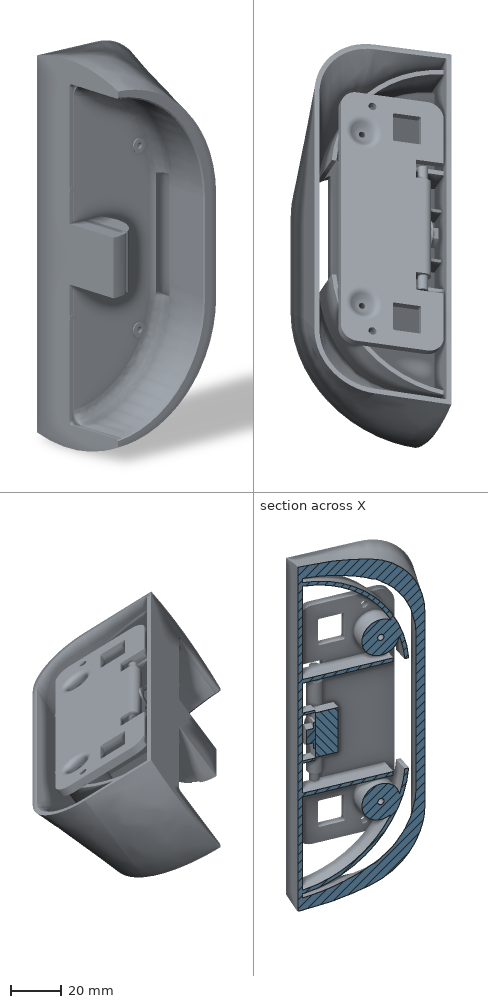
import cadquery as cq
import math

LENGTH = 161.0
DEPTH = 49.0
BACK_HEIGHT = 57.0
RIM_HEIGHT = 52.0
BACK_HALF = 78.1
RIM_HALF = 73.8
CREST_X = 17.7
BACK_TOP_HALF = 52.8
BACK_SHOULDER = (31.9, 77.8)
CREST_TOP_HALF = 40.3
CREST_SHOULDER = (33.0, 73.8)
RIM_SHOULDER = (36.5, 58.3)
WALL = 2.1

BOWL_CENTER_Y = -2.5
BOWL_CENTER_Z = 21.1
BOWL_RADIUS = 49.6
BOWL_FLOOR_CENTER_Y = BOWL_CENTER_Y + 1.6
BOWL_RIM_CENTER_Y = BOWL_CENTER_Y - 1.6
BOWL_FLOOR_X = 20.0
BOWL_FILLET = 5.5
RIM_CHAMFER = 0.6
MOUTH_X = 19.6
MOUTH_CORNER = 1.6

FLOOR_THICKNESS = 3.9
PAN_FILLET = 4.7
PAN_BACK_X = BOWL_FLOOR_X - FLOOR_THICKNESS
LEDGE_X = PAN_BACK_X + 4.8
RING_RADIUS = BOWL_RADIUS + 2.0
RING_BACK_X = 3.4

NOTCH_HALF = 25.5
NOTCH_Y = 45.1
NOTCH_FRONT_Y = 48.2

EDGE_MARGIN = 0.2

OUTER_RIB_Z = 25.5
OUTER_RIB_THICKNESS = 2.0
OUTER_RIB_TOP = 41.9
INNER_RIB_Z = 10.5
INNER_RIB_THICKNESS = 1.3

PLATE_THICKNESS = 3.4
PLATE_HALF = 55.4
PLATE_LOW_Y = 3.2
PLATE_HIGH_Y = 46.0
PLATE_CORNER = 6.8
RECESS_HALF = 29.0
RECESS_Y = 14.8
KNUCKLE_HALF = 21.1
WINDOW_Y = (12.5, 24.3)
WINDOW_Z = (36.0, 48.3)
WINDOW_CORNER = 0.6
PEG_HOLE_Y = 32.9
PEG_HOLE_Z = 50.1
PEG_HOLE_RADIUS = 1.6
SCREW_Y = 36.4
SCREW_Z = 38.2
SCREW_RADIUS = 1.3
DISH_RADIUS = 7.4
DISH_MIDDLE_RADIUS = 5.0
DISH_DEPTH = 2.5
BOSS_RADIUS = 8.4
NUB_RADIUS = 3.0
NUB_HEIGHT = 0.5

HINGE_Y = 11.0
KNUCKLE_RADIUS = 3.3
PIN_RADIUS = 2.1
KNOB_HALF = 12.5
KNOB_RADIUS = 18.2
KNOB_FRONT_X = 46.2
KNOB_CENTER_X = KNOB_FRONT_X - KNOB_RADIUS
GROOVE_Y = (7.0, 9.8)
GROOVE_DEPTH = 0.3
KNOB_EDGE = 0.5
HUB_BACK_X = 7.0
HUB_LOW_Y = HINGE_Y - KNUCKLE_RADIUS
HUB_HIGH_Y = 17.7
BOLT_X = 9.0
FLANGE_RADIUS = 6.6
FLANGE_THICKNESS = 0.8
HEX_CORNERS = 9.3
HEX_LENGTH = 3.0


def box(x, y, z):
    """Box between pairs of limits."""
    size = [high - low for low, high in (x, y, z)]
    return cq.Workplane("XY").box(*size, centered=False).translate((x[0], y[0], z[0]))


def yz_plane(x):
    """Sketch plane whose local axes are world Y and Z."""
    return cq.Workplane("YZ", origin=(x, 0, 0))


def bar(axis_y, radius, z_half, axis_x):
    """Round bar along Z, centred on z = 0."""
    return cq.Workplane("XY", origin=(axis_x, axis_y, -z_half)).circle(radius).extrude(2 * z_half)


def mirrored(half_body):
    """Join the upper half of a body with its mirror image below z = 0."""
    return half_body.union(half_body.mirror("XY"))


def half_section(x, base_y, height, top_half, shoulder, base_half):
    """Upper half of a section across X: flat top, round corner to the shoulder, bulging end."""
    return (
        yz_plane(x)
        .moveTo(base_y, 0)
        .lineTo(height, 0)
        .lineTo(height, top_half)
        .tangentArcPoint(shoulder, relative=False)
        .tangentArcPoint((base_y, base_half), relative=False)
        .close()
        .val()
    )


def half_loft(sections):
    return cq.Workplane(cq.Solid.makeLoft(sections))


def bowl_half(radius, y, center_y=BOWL_CENTER_Y):
    """Half height of the bowl outline at a given Y."""
    return BOWL_CENTER_Z + math.sqrt(radius**2 - (y - center_y) ** 2)


def bowl_section(x, radius, base_y, center_y=BOWL_CENTER_Y):
    """Upper half of the bowl outline, its shoulder at the middle of a 90 degree arc."""
    step = radius * math.sqrt(0.5)
    shoulder = (center_y + step, BOWL_CENTER_Z + step)
    base_half = bowl_half(radius, base_y, center_y)
    return half_section(x, base_y, center_y + radius, BOWL_CENTER_Z, shoulder, base_half)


def bowl_prism(radius, base_y, start_x, end_x):
    """Straight body with the bowl outline."""
    return mirrored(half_loft([bowl_section(start_x, radius, base_y), bowl_section(end_x, radius, base_y)]))


def make_outer():
    """Outer shape: rounded back opening, bulging crest, half-round front rim."""
    crest_height = BACK_HEIGHT - (BACK_HEIGHT - RIM_HEIGHT) * CREST_X / DEPTH
    back = half_section(0, 0, BACK_HEIGHT, BACK_TOP_HALF, BACK_SHOULDER, BACK_HALF)
    crest = half_section(CREST_X, 0, crest_height, CREST_TOP_HALF, CREST_SHOULDER, LENGTH / 2)
    rim = half_section(DEPTH, 0, RIM_HEIGHT, BOWL_CENTER_Z, RIM_SHOULDER, RIM_HALF)
    return mirrored(half_loft([back, crest, rim]))


def make_hollow():
    """Space inside the shell, narrowing from the back opening to the outline of the ring wall."""
    shoulder_y, shoulder_z = BACK_SHOULDER
    shoulder = (shoulder_y, shoulder_z - WALL)
    back = half_section(0, WALL, BACK_HEIGHT - WALL, BACK_TOP_HALF, shoulder, BACK_HALF - WALL)
    ledge = bowl_section(LEDGE_X, RING_RADIUS, WALL)
    return mirrored(half_loft([back, ledge]))


def make_ring():
    """Wall around the back of the bowl, standing up inside the hollow."""
    outside = bowl_prism(RING_RADIUS, 0, RING_BACK_X, LEDGE_X)
    inside = bowl_prism(BOWL_RADIUS, WALL, RING_BACK_X, LEDGE_X)
    return outside.cut(inside)


def edges_above(body, y):
    """Edges of the back face of a body, without those at or below y."""
    return body.faces("<X").edges(cq.selectors.BoxSelector((0, y, -LENGTH), (DEPTH, LENGTH, LENGTH)))


def make_pan():
    """Back of the bowl inside the ring wall, with a rounded edge."""
    pan = bowl_prism(BOWL_RADIUS, 0, PAN_BACK_X, LEDGE_X)
    return edges_above(pan, EDGE_MARGIN).fillet(PAN_FILLET)


def make_bowl():
    """Cavity narrowing slightly to a chamfered rim, with a rounded floor edge, open through y = 0."""
    base_y = -1.6
    bowl = mirrored(half_loft([
        bowl_section(BOWL_FLOOR_X, BOWL_RADIUS, base_y, BOWL_FLOOR_CENTER_Y),
        bowl_section(DEPTH, BOWL_RADIUS, base_y, BOWL_RIM_CENTER_Y),
    ]))
    bowl = edges_above(bowl, base_y + EDGE_MARGIN).fillet(BOWL_FILLET)
    chamfer = mirrored(half_loft([
        bowl_section(DEPTH - RIM_CHAMFER, BOWL_RADIUS, base_y, BOWL_RIM_CENTER_Y),
        bowl_section(DEPTH, BOWL_RADIUS + RIM_CHAMFER, base_y, BOWL_RIM_CENTER_Y),
    ]))
    return bowl.union(chamfer)


def make_mouth():
    """Opening of the bowl through the flat side wall."""
    half = bowl_half(BOWL_RADIUS, 0)
    mouth = box((MOUTH_X, DEPTH + 1.6), (-1.6, WALL), (-half, half))
    return mouth.edges("|Y and <X").fillet(MOUTH_CORNER)


def make_ribs():
    """Two tall ribs beside the hinge and two low ribs beside the bolt."""
    ribs = cq.Workplane()
    for start, thickness, back_x, top_y in (
        (OUTER_RIB_Z, OUTER_RIB_THICKNESS, PLATE_THICKNESS, OUTER_RIB_TOP),
        (INNER_RIB_Z, INNER_RIB_THICKNESS, HUB_BACK_X, HUB_LOW_Y),
    ):
        rib = box((back_x, BOWL_FLOOR_X), (0, top_y), (start, start + thickness))
        ribs = ribs.add(rib).add(rib.mirror("XY"))
    return ribs.combine()


def screw_spots():
    return [(SCREW_Y, side * SCREW_Z) for side in (-1, 1)]


def make_notch():
    """Clearance through the floor edge, the ring wall and the ledge, narrowing towards the bowl."""
    front_x = BOWL_FLOOR_X + BOWL_FILLET
    back_y = BOWL_CENTER_Y + RING_RADIUS
    profile = [(0, NOTCH_Y), (0, back_y), (LEDGE_X, back_y), (front_x, NOTCH_FRONT_Y), (front_x, NOTCH_Y)]
    notch = cq.Workplane("XY", origin=(0, 0, -NOTCH_HALF)).polyline(profile).close()
    return notch.extrude(2 * NOTCH_HALF)


def make_housing():
    shell = make_outer().cut(make_hollow()).union(make_ring()).union(make_pan())
    housing = shell.cut(make_bowl()).cut(make_mouth())
    ribs = make_ribs()
    bosses = (
        yz_plane(PLATE_THICKNESS)
        .pushPoints(screw_spots())
        .circle(BOSS_RADIUS)
        .extrude(PAN_BACK_X + 1.6 - PLATE_THICKNESS)
    )
    nubs = (
        yz_plane(PAN_BACK_X)
        .pushPoints(screw_spots())
        .circle(NUB_RADIUS)
        .extrude(FLOOR_THICKNESS + NUB_HEIGHT)
    )
    screw_holes = yz_plane(0).pushPoints(screw_spots()).circle(SCREW_RADIUS).extrude(DEPTH)
    housing = housing.union(ribs).union(bosses).union(nubs).cut(screw_holes).cut(make_notch())
    return housing.cut(make_handle()).cut(make_pin())


def make_dish(y, z):
    """Round dish with an S-shaped wall down to the screw hole, sunk into the back of the plate."""
    outer_share = (DISH_RADIUS - DISH_MIDDLE_RADIUS) / (DISH_RADIUS - SCREW_RADIUS)
    return (
        cq.Workplane("XY", origin=(0, y, z))
        .lineTo(DISH_DEPTH, 0)
        .lineTo(DISH_DEPTH, SCREW_RADIUS)
        .tangentArcPoint((DISH_DEPTH * outer_share, DISH_MIDDLE_RADIUS), relative=False)
        .tangentArcPoint((0, DISH_RADIUS), relative=False)
        .close()
        .revolve(360, (0, 0, 0), (1, 0, 0))
    )


def make_plate():
    """Mounting plate flush with the back opening, with a hinge knuckle on its lower edge."""
    across = (-1.6, PLATE_THICKNESS + 1.6)
    plate = box((0, PLATE_THICKNESS), (PLATE_LOW_Y, PLATE_HIGH_Y), (-PLATE_HALF, PLATE_HALF))
    plate = plate.edges("|X").fillet(PLATE_CORNER)
    plate = plate.cut(box(across, (0, RECESS_Y), (-RECESS_HALF, RECESS_HALF)))
    web = box((0, PLATE_THICKNESS), (HINGE_Y, RECESS_Y), (-KNUCKLE_HALF, KNUCKLE_HALF))
    plate = plate.union(web).union(bar(HINGE_Y, KNUCKLE_RADIUS, KNUCKLE_HALF, KNUCKLE_RADIUS))
    for side in (-1, 1):
        window = box(across, WINDOW_Y, sorted(side * z for z in WINDOW_Z))
        plate = plate.cut(window.edges("|X").fillet(WINDOW_CORNER))
        plate = plate.cut(make_dish(SCREW_Y, side * SCREW_Z))
    screw_holes = yz_plane(0).pushPoints(screw_spots()).circle(SCREW_RADIUS).extrude(PLATE_THICKNESS)
    peg_spots = [(PEG_HOLE_Y, side * PEG_HOLE_Z) for side in (-1, 1)]
    peg_holes = yz_plane(0).pushPoints(peg_spots).circle(PEG_HOLE_RADIUS).extrude(PLATE_THICKNESS)
    return plate.cut(screw_holes).cut(peg_holes).cut(make_pin())


def make_pin():
    """Hinge pin through the knuckle, its ends held in the tall ribs."""
    return bar(HINGE_Y, PIN_RADIUS, OUTER_RIB_Z + OUTER_RIB_THICKNESS, KNUCKLE_RADIUS)


def make_knob(radius, half):
    """Half-round knob standing on the bowl floor, flat at y = 0."""
    knob = bar(0, radius, half, KNOB_CENTER_X)
    return knob.intersect(box((MOUTH_X, KNOB_FRONT_X), (0, radius), (-half, half)))


def make_handle():
    """Knob with a shallow groove around it, and the hub that carries it through the bowl floor."""
    knob = make_knob(KNOB_RADIUS, KNOB_HALF).edges("|Y").fillet(KNOB_EDGE)
    groove = box((BOWL_FLOOR_X, KNOB_FRONT_X), GROOVE_Y, (-KNOB_HALF, KNOB_HALF))
    groove = groove.cut(make_knob(KNOB_RADIUS - GROOVE_DEPTH, KNOB_HALF - GROOVE_DEPTH))
    hub = box((HUB_BACK_X, KNOB_CENTER_X), (HUB_LOW_Y, HUB_HIGH_Y), (-INNER_RIB_Z, INNER_RIB_Z))
    return knob.cut(groove).union(hub)


def make_bolt():
    """Flanged hex bolt on the hub, its axis along Y."""
    flange = (
        cq.Workplane("XZ", origin=(BOLT_X, HUB_LOW_Y, 0)).circle(FLANGE_RADIUS).extrude(FLANGE_THICKNESS)
    )
    head = flange.faces("<Y").workplane().transformed(rotate=(0, 0, 90)).polygon(6, HEX_CORNERS)
    return head.extrude(HEX_LENGTH)


housing = make_housing()
plate = make_plate()
pin = make_pin()
handle = make_handle()
bolt = make_bolt()

result = cq.Compound.makeCompound([housing.val(), plate.val(), pin.val(), handle.val(), bolt.val()])